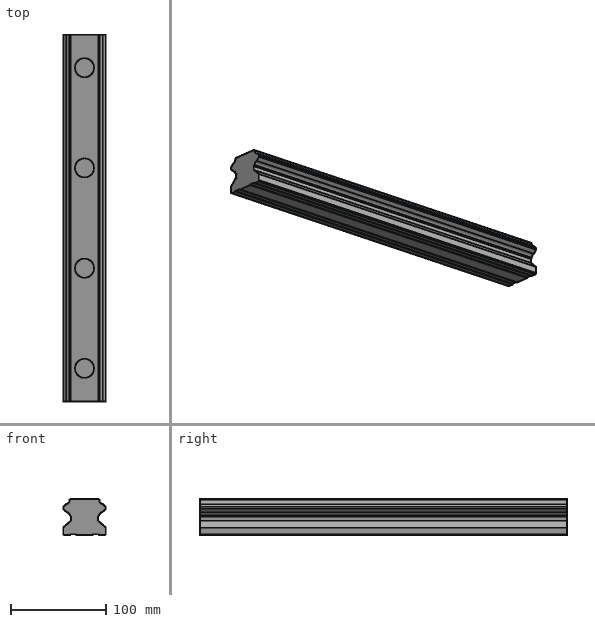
import cadquery as cq

length = 385.0
width = 45.0
height = 38.0

top_half_width = 14.5
top_chamfer = 1.0
relief_radius = 4.0
head_ridge_x = 19.2
head_ridge_z = 32.7
head_side_top_z = 29.5
head_side_bottom_z = 27.7

web_half_width = 14.2
groove_outer_x = 19.0
groove_outer_z = 24.3
groove_radius = 5.0
groove_lip = 1.0
web_top_z = 19.5
web_bottom_z = 15.5

foot_side_top_z = 8.0
foot_chamfer = 1.0
foot_groove_inner_x = 8.5
foot_groove_outer_x = 15.0
foot_groove_depth = 0.8

cap_count = 4
cap_pitch = 105.0
cap_diameter = 20.0
cap_recess = 0.2


def half_profile():
    """Right half of the rail section, closed along the centre line."""
    half_width = width / 2
    shoulder_x = top_half_width + top_chamfer
    shoulder_z = height - top_chamfer
    return (
        cq.Workplane("XZ", origin=(0, length / 2, 0))
        .moveTo(0, 0)
        .lineTo(foot_groove_inner_x, 0)
        .lineTo(foot_groove_inner_x, foot_groove_depth)
        .lineTo(foot_groove_outer_x, foot_groove_depth)
        .lineTo(foot_groove_outer_x, 0)
        .lineTo(half_width - foot_chamfer, 0)
        .lineTo(half_width, foot_chamfer)
        .lineTo(half_width, foot_side_top_z)
        .lineTo(web_half_width, web_bottom_z)
        .lineTo(web_half_width, web_top_z)
        .lineTo(web_half_width + groove_lip, web_top_z + groove_lip)
        .radiusArc((groove_outer_x, groove_outer_z), groove_radius)
        .lineTo(half_width, head_side_bottom_z)
        .lineTo(half_width, head_side_top_z)
        .lineTo(head_ridge_x, head_ridge_z)
        .radiusArc((shoulder_x, shoulder_z), relief_radius)
        .lineTo(top_half_width, height)
        .lineTo(0, height)
        .close()
    )


def rail_body():
    half = half_profile().extrude(length)
    return half.union(half.mirror("YZ"))


def cap_recesses():
    return (
        cq.Workplane("XY", origin=(0, 0, height))
        .rarray(4, cap_pitch, 1, cap_count)
        .circle(cap_diameter / 2)
        .extrude(-cap_recess)
    )


result = rail_body().cut(cap_recesses())